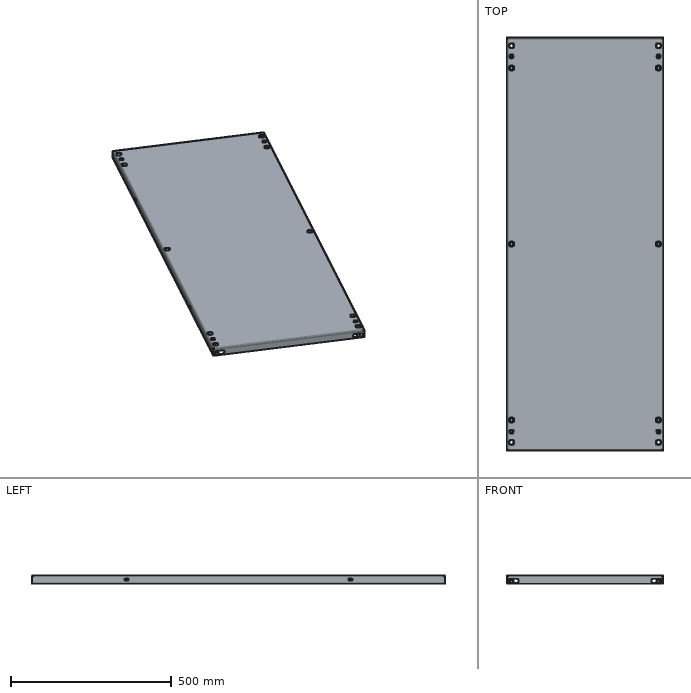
import cadquery as cq

LENGTH = 1288.0
WIDTH = 488.0
HEIGHT = 27.0
SHEET = 1.5
BEND_RADIUS = 4.0
LIP_WIDTH = 22.0

HOLE_ROW_X = 229.0
CORNER_HOLE_Y = 618.0
NUT_Y = 585.0
INNER_HOLE_Y = 549.0
TOP_HOLE_RADIUS = 8.4
CORNER_LIP_HOLE_RADIUS = 6.6
LIP_HOLE_RADIUS = 4.5
NUT_ACCESS_RADIUS = 6.0

END_SLOT_X = 223.0
END_SLOT_Z = 9.7
END_SLOT_LENGTH = 32.0
END_SLOT_HEIGHT = 12.0
SIDE_SLOT_Y = 349.0
SIDE_SLOT_Z = HEIGHT / 2
SIDE_SLOT_LENGTH = 12.0
SIDE_SLOT_HEIGHT = 5.0

NUT_ACROSS_CORNERS = 14.0
NUT_BORE_RADIUS = 4.0
NUT_HEIGHT = 10.0

SIDES = (-1, 1)


def four_corners(x, y):
    """The four points at plus and minus x and y."""
    return [(side * x, end * y) for side in SIDES for end in SIDES]


def rounded_block(inset):
    """The tray's outer block shrunk by inset, its rounded long and short edges meeting in a mitre."""
    width = WIDTH - 2 * inset
    length = LENGTH - 2 * inset
    height = HEIGHT - 2 * inset
    radius = BEND_RADIUS - inset
    base = cq.Workplane("XY").workplane(offset=inset)
    block = base.box(width, length, height, centered=(True, True, False))
    rounded_along_y = block.edges("|Y").fillet(radius)
    rounded_along_x = block.edges("|X and >Z").fillet(radius)
    return rounded_along_y.intersect(rounded_along_x)


def bottom_opening():
    """The open bottom between the two lips, from end wall to end wall."""
    return cq.Workplane("XY").box(WIDTH - 2 * LIP_WIDTH, LENGTH - 2 * SHEET, 2 * SHEET)


def corner_notches():
    """Square reliefs at the four top corners, where the bends would run into each other."""
    return (
        cq.Workplane("XY")
        .workplane(offset=HEIGHT - BEND_RADIUS)
        .pushPoints(four_corners(WIDTH / 2, LENGTH / 2))
        .rect(2 * BEND_RADIUS, 2 * BEND_RADIUS)
        .extrude(BEND_RADIUS)
    )


def stepped_holes(places, top_radius, lip_radius):
    """Cutters for round holes through the top sheet, each with a smaller hole through the lip below."""
    middle = HEIGHT / 2
    lip_holes = cq.Workplane("XY").pushPoints(places).circle(lip_radius).extrude(middle)
    top_holes = (
        cq.Workplane("XY").workplane(offset=middle).pushPoints(places).circle(top_radius).extrude(middle)
    )
    return lip_holes.union(top_holes)


def end_slots():
    """Slots near both ends of each end wall."""
    places = [(side * END_SLOT_X, END_SLOT_Z) for side in SIDES]
    slots = cq.Workplane("XZ").pushPoints(places).slot2D(END_SLOT_LENGTH, END_SLOT_HEIGHT)
    return slots.extrude(LENGTH, both=True)


def side_slots():
    """Two small slots in each side wall."""
    places = [(end * SIDE_SLOT_Y, SIDE_SLOT_Z) for end in SIDES]
    slots = cq.Workplane("YZ").pushPoints(places).slot2D(SIDE_SLOT_LENGTH, SIDE_SLOT_HEIGHT)
    return slots.extrude(WIDTH, both=True)


def make_tray(nut_places):
    """The folded sheet tray with all its holes and slots, including those in line with the nuts."""
    body = rounded_block(0).cut(rounded_block(SHEET)).cut(bottom_opening()).cut(corner_notches())
    corner_places = four_corners(HOLE_ROW_X, CORNER_HOLE_Y)
    inner_places = four_corners(HOLE_ROW_X, INNER_HOLE_Y)
    middle_places = [(side * HOLE_ROW_X, 0) for side in SIDES]
    body = body.cut(stepped_holes(corner_places, TOP_HOLE_RADIUS, CORNER_LIP_HOLE_RADIUS))
    body = body.cut(stepped_holes(inner_places + middle_places, TOP_HOLE_RADIUS, LIP_HOLE_RADIUS))
    body = body.cut(stepped_holes(nut_places, NUT_ACCESS_RADIUS, NUT_BORE_RADIUS))
    return body.cut(end_slots()).cut(side_slots())


def make_nut(x, y):
    """A hexagon nut resting on the lip, with a corner pointing along X."""
    blank = cq.Workplane("XY").workplane(offset=SHEET).center(x, y).polygon(6, NUT_ACROSS_CORNERS)
    return blank.circle(NUT_BORE_RADIUS).extrude(NUT_HEIGHT)


nut_places = four_corners(HOLE_ROW_X, NUT_Y)
tray = make_tray(nut_places)
nuts = [make_nut(x, y) for x, y in nut_places]

result = cq.Compound.makeCompound([*tray.solids().vals(), *[nut.val() for nut in nuts]])